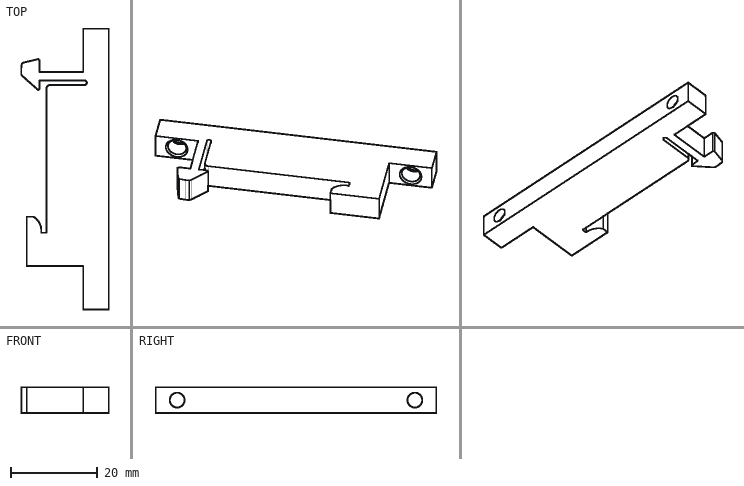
import cadquery as cq

length = 65.0
thickness = 6.0
bar_width = 6.0

block_reach = 14.5
hook_reach = 19.05
barb_back_reach = 16.05
tip_reach = 20.35

arm_start = 10.0
arm_width = 2.0
slot_width = 1.0
pocket_floor = 47.2
hook_top = 43.5
block_end = 54.95
shoulder_radius = 0.9
slot_end_reach = 5.15
slot_radius = slot_width / 2
slot_start = arm_start + arm_width
shoulder = slot_start + slot_width

barb_top = 7.0
barb_bottom = 14.25
tip_break = 0.3
front_top_break_reach = 19.9
front_top_break = 7.9
front_top_reach = 20.2
front_top = 8.2
front_bend = 9.55
front_bottom = 10.55
front_bottom_break_reach = 20.1
front_bottom_break = 10.9

hook_flat_reach = 17.5
hook_mid_reach = 16.4
hook_mid = 44.5
hook_root_reach = 15.7

hole_inset = 5.0
hole_diameter = 3.4
counterbore_diameter = 4.3
counterbore_depth = 4.0
mouth_diameter = 5.15


def at(reach, down):
    """Point at a reach from the bar's back and a distance down from its far end."""
    return (-reach, -down)


def make_body():
    """Bar, block, slot and hook as a single extruded outline."""
    return (
        cq.Workplane("XY")
        .moveTo(*at(0, 0))
        .lineTo(*at(bar_width, 0))
        .lineTo(*at(bar_width, arm_start))
        .lineTo(*at(barb_back_reach, arm_start))
        .lineTo(*at(barb_back_reach, slot_start))
        .lineTo(*at(slot_end_reach + slot_radius, slot_start))
        .threePointArc(
            at(slot_end_reach, slot_start + slot_radius),
            at(slot_end_reach + slot_radius, shoulder),
        )
        .lineTo(*at(block_reach - shoulder_radius, shoulder))
        .radiusArc(at(block_reach, shoulder + shoulder_radius), -shoulder_radius)
        .lineTo(*at(block_reach, pocket_floor))
        .lineTo(*at(hook_root_reach, pocket_floor))
        .threePointArc(at(hook_mid_reach, hook_mid), at(hook_flat_reach, hook_top))
        .lineTo(*at(hook_reach, hook_top))
        .lineTo(*at(hook_reach, block_end))
        .lineTo(*at(bar_width, block_end))
        .lineTo(*at(bar_width, length))
        .lineTo(*at(0, length))
        .close()
        .extrude(thickness)
    )


def make_barb():
    """Snap head at the free end of the arm, with broken corners and a slight bend in its front."""
    outline = [
        at(barb_back_reach, barb_top + tip_break),
        at(barb_back_reach + tip_break, barb_top),
        at(front_top_break_reach, front_top_break),
        at(front_top_reach, front_top),
        at(tip_reach, front_bend),
        at(tip_reach, front_bottom),
        at(front_bottom_break_reach, front_bottom_break),
        at(barb_back_reach + tip_break, barb_bottom),
        at(barb_back_reach, barb_bottom - tip_break),
    ]
    return cq.Workplane("XY").polyline(outline).close().extrude(thickness)


def make_hole(down):
    """Cutter for one hole: through bore, counterbore and 45 degree mouth."""
    mouth_radius = mouth_diameter / 2
    counterbore_radius = counterbore_diameter / 2
    bore_radius = hole_diameter / 2
    mouth_depth = mouth_radius - counterbore_radius
    profile = [
        (-bar_width, 0),
        (-bar_width, mouth_radius),
        (-bar_width + mouth_depth, counterbore_radius),
        (-bar_width + counterbore_depth, counterbore_radius),
        (-bar_width + counterbore_depth, bore_radius),
        (0, bore_radius),
        (0, 0),
    ]
    cutter = cq.Workplane("XY").polyline(profile).close().revolve(360, (0, 0, 0), (1, 0, 0))
    return cutter.translate((0, -down, thickness / 2))


result = make_body().union(make_barb())
for hole_position in (hole_inset, length - hole_inset):
    result = result.cut(make_hole(hole_position))